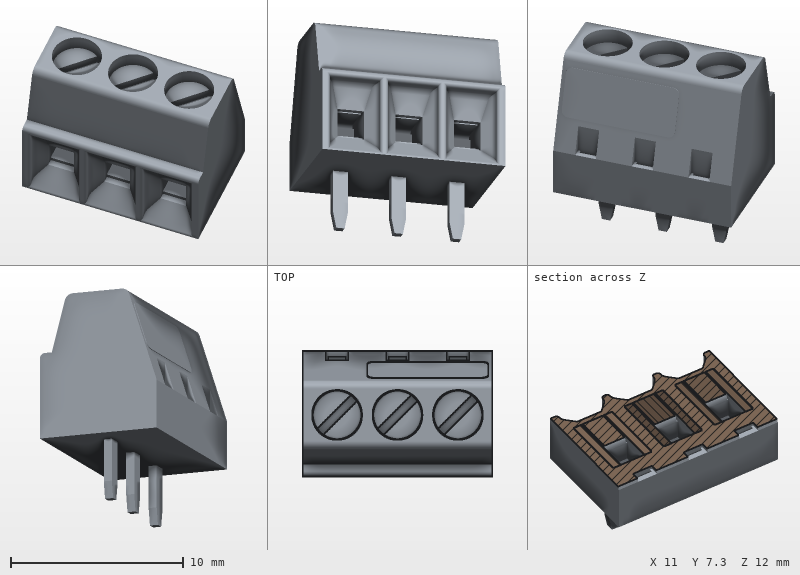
import cadquery as cq
import math

pole_count = 3
pitch = 3.5
pole_positions = [(i - (pole_count - 1) / 2) * pitch for i in range(pole_count)]

housing_width = 11.0
housing_depth = 7.3
housing_height = 8.5
total_height = 12
ledge_height = 5.09
ledge_depth = 0.75
ledge_radius = 0.3
front_slope = math.radians(15)
rear_slope = math.radians(18)
rear_wall_height = 2.85
crest_radius = 0.5
crest_front = ledge_depth + (housing_height - ledge_height) * math.tan(front_slope)
crest_rear = housing_depth - (housing_height - rear_wall_height) * math.tan(rear_slope)

opening_width = 1.61
opening_bottom = 1.25
opening_top = 2.98

rib_width = 0.1
funnel_half_width = (pitch - rib_width) / 2
funnel_top = ledge_height - ledge_radius
lip_radius = 0.2
throat_radius = 0.5
side_turn = math.radians(45)
roof_turn = math.radians(75)
floor_turn = math.radians(45)


def flare_depth(total_inward, turn):
    """Depth of a lip, a throat and a sloped wall that together come inward by `total_inward`."""
    throat_inward = throat_radius * (1 - math.cos(turn))
    wall_inward = total_inward - lip_radius - throat_inward
    return lip_radius + throat_radius * math.sin(turn) + wall_inward / math.tan(turn)


opening_depth = flare_depth(funnel_half_width - opening_width / 2, side_turn)
roof_flat = opening_depth - flare_depth(funnel_top - opening_top, roof_turn)

sheet = 0.5
pin_width = 0.9
pin_tip_width = 0.5
pin_length = total_height - housing_height
pin_taper_length = 1.0
pin_front = 3.37
tongue_width = 1.43
tongue_bottom = 2.92
tongue_top = tongue_bottom + sheet
bend_radius = 0.23

screw_y = 3.58
screw_hole_diameter = 2.9
head_diameter = 2.81
head_top = 7.62
head_height = 1.0
head_bottom = head_top - head_height
slot_width = 0.5
slot_depth = 0.54
slot_angle = 45
shank_diameter = 2.0

clamp_front = 1.49
clamp_depth = 2 * (screw_y - clamp_front)
clamp_wall = 0.5
clamp_floor_top = 1.46
clamp_bottom = clamp_floor_top - clamp_wall
clamp_roof = 1.0
clamp_width = opening_width + 2 * clamp_wall
clamp_top = tongue_top + clamp_roof
clamp_height = clamp_top - clamp_bottom

notch_width = 1.3
notch_depth = 0.54
pocket_width = 1.01
pocket_depth = 0.2
pocket_drop = 0.5
panel_length = 7.0
panel_height = 3
panel_x = 1.75
panel_y = 6.17
panel_corner = 0.41
panel_thickness = 0.04


def box(width, depth, height, x, front, bottom):
    """A box centred on x in X, with its front face at `front` and its base at `bottom`."""
    block = cq.Workplane("XY").box(width, depth, height, centered=(True, False, False))
    return block.translate((x, front, bottom))


def upright_cylinder(diameter, bottom, top, x):
    return cq.Workplane("XY", origin=(x, screw_y, bottom)).circle(diameter / 2).extrude(top - bottom)


def prism_along_x(profile, width, x):
    """Extrude a (Y, Z) profile symmetrically about x."""
    return profile.extrude(width / 2, both=True).translate((x, 0, 0))


def housing_block():
    outline = cq.Workplane("YZ").polyline(
        [
            (0, 0),
            (0, ledge_height),
            (ledge_depth, ledge_height),
            (crest_front, housing_height),
            (crest_rear, housing_height),
            (housing_depth, rear_wall_height),
            (housing_depth, 0),
        ]
    ).close()
    block = prism_along_x(outline, housing_width, 0)
    block = block.edges("|X and >Z").fillet(crest_radius)
    front_edge = cq.selectors.NearestToPointSelector((0, 0, ledge_height))
    return block.edges(front_edge).fillet(ledge_radius)


def arc_offset(radius, angle):
    """Sideways and forward travel along an arc that starts out heading forward."""
    return radius * (1 - math.cos(angle)), radius * math.sin(angle)


def trace_flare(sketch, place, turn, flat_length):
    """Draw a rounded lip, a straight stretch and a concave throat that turns inward by `turn`.

    `place` maps (distance inward from the rim, depth behind the front face) to the sketch plane.
    """
    half_lip = lip_radius * math.sin(math.pi / 4)
    throat_start = lip_radius + flat_length
    mid_in, mid_deep = arc_offset(throat_radius, turn / 2)
    end_in, end_deep = arc_offset(throat_radius, turn)
    sketch = sketch.threePointArc(
        place(half_lip, lip_radius - half_lip),
        place(lip_radius, lip_radius),
    )
    if flat_length > 0:
        sketch = sketch.lineTo(*place(lip_radius, throat_start))
    return sketch.threePointArc(
        place(lip_radius + mid_in, throat_start + mid_deep),
        place(lip_radius + end_in, throat_start + end_deep),
    )


def funnel_plan():
    """Plan of the funnel side walls as a prism over the whole funnel height."""
    outline = cq.Workplane("XY").lineTo(funnel_half_width, 0)
    outline = trace_flare(outline, lambda inward, deep: (funnel_half_width - inward, deep), side_turn, 0)
    outline = outline.lineTo(opening_width / 2, opening_depth).lineTo(0, opening_depth)
    return outline.mirrorY().extrude(funnel_top)


def funnel_section():
    """Section of the funnel roof and floor as a prism over the whole funnel width."""
    floor_mid_deep, floor_mid_up = arc_offset(lip_radius, floor_turn / 2)
    floor_end_deep, floor_end_up = arc_offset(lip_radius, floor_turn)
    outline = cq.Workplane("YZ").moveTo(0, funnel_top)
    outline = trace_flare(outline, lambda inward, deep: (deep, funnel_top - inward), roof_turn, roof_flat)
    outline = (
        outline.lineTo(opening_depth, opening_top)
        .lineTo(opening_depth, opening_bottom)
        .lineTo(floor_end_deep, floor_end_up)
        .threePointArc((floor_mid_deep, floor_mid_up), (0, 0))
        .close()
    )
    return prism_along_x(outline, 2 * funnel_half_width, 0)


def wire_entry(x):
    """Funnel and the straight opening that leads from it to the clamp."""
    funnel = funnel_plan().intersect(funnel_section()).translate((x, 0, 0))
    opening_length = clamp_front - opening_depth
    opening_height = opening_top - opening_bottom
    opening = box(opening_width, opening_length, opening_height, x, opening_depth, opening_bottom)
    return funnel.union(opening)


def pin_slot(x, bottom, top):
    return box(pin_width, sheet, top - bottom, x, pin_front, bottom)


def clamp_cavity(x):
    return box(clamp_width, clamp_depth, clamp_height, x, clamp_front, clamp_bottom)


def screw_bore(x):
    head_bore = upright_cylinder(screw_hole_diameter, head_bottom, housing_height, x)
    return head_bore.union(upright_cylinder(shank_diameter, clamp_top, head_bottom, x))


def rear_notch(x):
    """Notch in the rear slope with a narrow pocket in its floor."""
    notch_front = housing_depth - notch_depth
    notch = box(notch_width, notch_depth, housing_height, x, notch_front, rear_wall_height)
    pocket = box(pocket_width, pocket_depth, pocket_drop, x, notch_front, rear_wall_height - pocket_drop)
    return notch.union(pocket)


def label_panel():
    """Thin raised panel with rounded corners on the rear slope."""
    panel_z = rear_wall_height + (housing_depth - panel_y) / math.tan(rear_slope)
    slope_plane = cq.Plane(
        origin=(panel_x, panel_y, panel_z),
        xDir=(1, 0, 0),
        normal=(0, math.cos(rear_slope), math.sin(rear_slope)),
    )
    panel = cq.Workplane(slope_plane).rect(panel_length, panel_height).extrude(panel_thickness)
    across_panel = cq.selectors.ParallelDirSelector(slope_plane.zDir)
    return panel.edges(across_panel).fillet(panel_corner)


def make_housing():
    housing = housing_block().union(label_panel())
    for x in pole_positions:
        housing = housing.cut(wire_entry(x))
        housing = housing.cut(clamp_cavity(x))
        housing = housing.cut(pin_slot(x, 0, clamp_bottom))
        housing = housing.cut(screw_bore(x))
        housing = housing.cut(rear_notch(x))
    return housing


def make_clamp(x):
    window = box(opening_width, clamp_depth, tongue_top - clamp_floor_top, x, clamp_front, clamp_floor_top)
    return (
        clamp_cavity(x)
        .cut(window)
        .cut(pin_slot(x, clamp_bottom, clamp_floor_top))
        .cut(upright_cylinder(shank_diameter, tongue_top, clamp_top, x))
    )


def make_contact(x):
    """Solder pin, a wider plate above it, and a tongue bent forward over the wire."""
    pin_rear = pin_front + sheet
    bend_bottom = tongue_bottom - bend_radius
    outer_radius = bend_radius + sheet
    pin = (
        cq.Workplane("XZ", origin=(x, pin_rear, 0))
        .polyline(
            [
                (-pin_width / 2, clamp_floor_top),
                (-pin_width / 2, pin_taper_length - pin_length),
                (-pin_tip_width / 2, -pin_length),
                (pin_tip_width / 2, -pin_length),
                (pin_width / 2, pin_taper_length - pin_length),
                (pin_width / 2, clamp_floor_top),
            ]
        )
        .close()
        .extrude(sheet)
    )
    plate = box(opening_width, sheet, bend_bottom - clamp_floor_top, x, pin_front, clamp_floor_top)
    tongue = prism_along_x(
        cq.Workplane("YZ")
        .moveTo(clamp_front, tongue_bottom)
        .lineTo(pin_front - bend_radius, tongue_bottom)
        .radiusArc((pin_front, bend_bottom), bend_radius)
        .lineTo(pin_rear, bend_bottom)
        .radiusArc((pin_rear - outer_radius, tongue_top), -outer_radius)
        .lineTo(clamp_front, tongue_top)
        .close(),
        tongue_width,
        x,
    )
    return pin.union(plate).union(tongue)


def make_screw(x):
    head = upright_cylinder(head_diameter, head_bottom, head_top, x)
    shank = upright_cylinder(shank_diameter, tongue_top, head_bottom, x)
    slot = (
        cq.Workplane("XY", origin=(x, screw_y, head_top - slot_depth))
        .transformed(rotate=(0, 0, slot_angle))
        .rect(screw_hole_diameter, slot_width)
        .extrude(slot_depth)
    )
    return head.union(shank).cut(slot)


housing = make_housing()
bodies = [housing.val()]
for make_body in (make_clamp, make_contact, make_screw):
    for x in pole_positions:
        bodies.append(make_body(x).val())

result = cq.Compound.makeCompound(bodies)